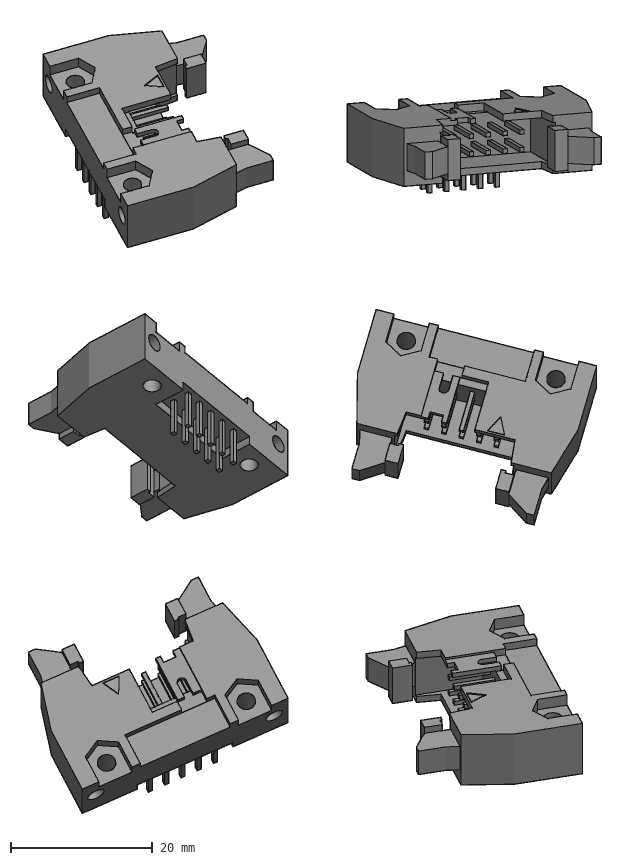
import cadquery as cq
import math

WIDTH = 32.3
HEIGHT = 8.43
HALF_WIDTH = WIDTH / 2
MID_Z = HEIGHT / 2
TAPER_START_Y = 10.0
JAW_Y = 17.3
JAW_OUTER_X = 14.25
JAW_INNER_X = 8.33
MOUTH_Y = 13.82
MOUTH_HALF_WIDTH = 7.95

WALL = 1.03
CAVITY_REAR_Y = 7.45
CAVITY_HALF_WIDTH = 8.72
CAVITY_TOP_Z = HEIGHT - WALL

LABEL_HALF_WIDTH = 7.05
LABEL_FRONT_Y = 4.95
LABEL_DEPTH = 1.13
RELIEF_HALF_WIDTH = 7.5
RELIEF_HEIGHT = 1.45

HOLE_DIAMETER = 2.6
MOUNT_X = 10.95
MOUNT_Y = 2.85
NUT_ACROSS_FLATS = 5.2
NUT_DEPTH = 1.7
REAR_HOLE_X = 14.0
REAR_HOLE_Z = 4.45
REAR_HOLE_DEPTH = 3.23

KEY_HALF_WIDTH = 2.07
KEY_REAR_Y = 6.4
KEY_DEPTH = 1.13
STRAP_RIGHT_X = 5.78
STRAP_REAR_Y = 6.65
STRAP_DROP = 0.32
STRAP_POCKET_LEFT_X = 1.85
STRAP_SLOT_X = 3.78
STRAP_SLOT_WIDTH = 1.35
STRAP_SLOT_FRONT_Y = 9.55
STRAP_NOTCH_WIDTH = 1.95
STRAP_NOTCH_DEPTH = 1.03

TRIANGLE_X = -5.1
TRIANGLE_BASE_Y = 13.5
TRIANGLE_SIZE = 2.5
TRIANGLE_DEPTH = 0.15

LATCH_HEIGHT = 3.95
LATCH_TIP_Y = 23.3
LATCH_TIP_X = 12.2
LATCH_OUTER_X = 13.35
LATCH_BEND_Y = 19.22
LATCH_ROOT_X = 13.8
LATCH_INNER_X = 9.08
LATCH_ROOT_Y = 14.55
HOOK_HEIGHT = 5.95
HOOK_INNER_X = 7.15
HOOK_FRONT_Y = 21.2
HOOK_REAR_Y = 18.55
LIP_WIDTH = 0.68
LIP_LENGTH = 0.32

PIN_COLUMNS = 5
PIN_PITCH = 2.55
PIN_SIZE = 0.65
PIN_TAIL = 4.55
PIN_TIP_Y = 13.5
TAIL_REAR_Y = 1.03


def block(x0, x1, y0, y1, z0, z1):
    """Axis-aligned box between the given limits."""
    return cq.Workplane("XY").box(x1 - x0, y1 - y0, z1 - z0, centered=False).translate((x0, y0, z0))


def prism(points, z0, z1):
    """Closed polygon in XY extruded from z0 to z1."""
    return cq.Workplane("XY").workplane(offset=z0).polyline(points).close().extrude(z1 - z0)


def mirrored(shape):
    """The shape together with its mirror image across X = 0."""
    return shape.union(shape.mirror("YZ"))


def housing():
    right_side = [
        (HALF_WIDTH, 0),
        (HALF_WIDTH, TAPER_START_Y),
        (JAW_OUTER_X, JAW_Y),
        (JAW_INNER_X, JAW_Y),
        (MOUTH_HALF_WIDTH, MOUTH_Y),
    ]
    left_side = [(-x, y) for x, y in reversed(right_side)]
    body = prism(right_side + left_side, 0, HEIGHT)
    cavity = block(-CAVITY_HALF_WIDTH, CAVITY_HALF_WIDTH, CAVITY_REAR_Y, JAW_Y, WALL, CAVITY_TOP_Z)
    label = block(-LABEL_HALF_WIDTH, LABEL_HALF_WIDTH, 0, LABEL_FRONT_Y, HEIGHT - LABEL_DEPTH, HEIGHT)
    relief = block(-RELIEF_HALF_WIDTH, RELIEF_HALF_WIDTH, 0, LABEL_FRONT_Y, 0, RELIEF_HEIGHT)
    return body.cut(cavity).cut(label).cut(relief)


def mounting_cuts():
    hole = cq.Workplane("XY").center(MOUNT_X, MOUNT_Y).circle(HOLE_DIAMETER / 2).extrude(HEIGHT)
    nut_floor_z = HEIGHT - NUT_DEPTH
    half = NUT_ACROSS_FLATS / 2
    shoulder_y = MOUNT_Y + half * math.tan(math.radians(30))
    apex_y = MOUNT_Y + half / math.cos(math.radians(30))
    nut = prism(
        [
            (MOUNT_X - half, 0),
            (MOUNT_X + half, 0),
            (MOUNT_X + half, shoulder_y),
            (MOUNT_X, apex_y),
            (MOUNT_X - half, shoulder_y),
        ],
        nut_floor_z,
        HEIGHT,
    )
    rear_hole = (
        cq.Workplane("XZ", origin=(REAR_HOLE_X, 0, REAR_HOLE_Z))
        .circle(HOLE_DIAMETER / 2)
        .extrude(-REAR_HOLE_DEPTH)
    )
    return mirrored(hole.union(nut).union(rear_hole))


def top_wall_cuts():
    key = block(-KEY_HALF_WIDTH, KEY_HALF_WIDTH, KEY_REAR_Y, MOUTH_Y, HEIGHT - KEY_DEPTH, HEIGHT)
    strap_top = block(
        KEY_HALF_WIDTH, STRAP_RIGHT_X, LABEL_FRONT_Y, MOUTH_Y, HEIGHT - STRAP_DROP, HEIGHT
    )
    pocket = block(
        STRAP_POCKET_LEFT_X, STRAP_RIGHT_X, LABEL_FRONT_Y, STRAP_REAR_Y, CAVITY_TOP_Z, HEIGHT
    )
    radius = STRAP_SLOT_WIDTH / 2
    round_y = STRAP_SLOT_FRONT_Y - radius
    slot_end = cq.Workplane("XY", origin=(STRAP_SLOT_X, round_y, CAVITY_TOP_Z)).circle(radius).extrude(WALL)
    slot_straight = block(
        STRAP_SLOT_X - radius, STRAP_SLOT_X + radius, STRAP_REAR_Y, round_y, CAVITY_TOP_Z, HEIGHT
    )
    slot = slot_straight.union(slot_end)
    notch = block(
        STRAP_SLOT_X - STRAP_NOTCH_WIDTH / 2,
        STRAP_SLOT_X + STRAP_NOTCH_WIDTH / 2,
        MOUTH_Y - STRAP_NOTCH_DEPTH,
        MOUTH_Y,
        CAVITY_TOP_Z,
        HEIGHT,
    )
    triangle = prism(
        [
            (TRIANGLE_X - TRIANGLE_SIZE / 2, TRIANGLE_BASE_Y),
            (TRIANGLE_X + TRIANGLE_SIZE / 2, TRIANGLE_BASE_Y),
            (TRIANGLE_X, TRIANGLE_BASE_Y - TRIANGLE_SIZE),
        ],
        HEIGHT - TRIANGLE_DEPTH,
        HEIGHT,
    )
    return key.union(strap_top).union(pocket).union(slot).union(notch).union(triangle)


def latches():
    lever_z0 = MID_Z - LATCH_HEIGHT / 2
    lever = prism(
        [
            (LATCH_INNER_X, LATCH_ROOT_Y),
            (LATCH_ROOT_X, LATCH_ROOT_Y),
            (LATCH_ROOT_X, JAW_Y),
            (LATCH_OUTER_X, LATCH_BEND_Y),
            (LATCH_OUTER_X, LATCH_TIP_Y),
            (LATCH_TIP_X, LATCH_TIP_Y),
            (LATCH_INNER_X, HOOK_FRONT_Y),
        ],
        lever_z0,
        lever_z0 + LATCH_HEIGHT,
    )
    hook_z0 = MID_Z - HOOK_HEIGHT / 2
    hook_z1 = hook_z0 + HOOK_HEIGHT
    hook = block(HOOK_INNER_X, LATCH_INNER_X, HOOK_REAR_Y, HOOK_FRONT_Y, hook_z0, hook_z1)
    lip_outer_x = HOOK_INNER_X + LIP_WIDTH
    lip = block(HOOK_INNER_X, lip_outer_x, HOOK_REAR_Y - LIP_LENGTH, HOOK_REAR_Y, hook_z0, hook_z1)
    return mirrored(lever.union(hook).union(lip))


def pins():
    """Two rows of bent pins; the upper row turns down at the rear."""
    half = PIN_SIZE / 2
    upper_row = (MID_Z + PIN_PITCH / 2, TAIL_REAR_Y)
    lower_row = (MID_Z - PIN_PITCH / 2, TAIL_REAR_Y + PIN_PITCH)
    all_pins = cq.Workplane("XY")
    for column in range(PIN_COLUMNS):
        x = (column - (PIN_COLUMNS - 1) / 2) * PIN_PITCH
        for row_z, tail_y in (upper_row, lower_row):
            blade = block(x - half, x + half, tail_y - half, PIN_TIP_Y, row_z - half, row_z + half)
            tail = block(x - half, x + half, tail_y - half, tail_y + half, -PIN_TAIL, row_z + half)
            all_pins = all_pins.union(blade).union(tail)
    return all_pins


shell = housing().cut(mounting_cuts()).cut(top_wall_cuts())
result = shell.union(latches()).union(pins())